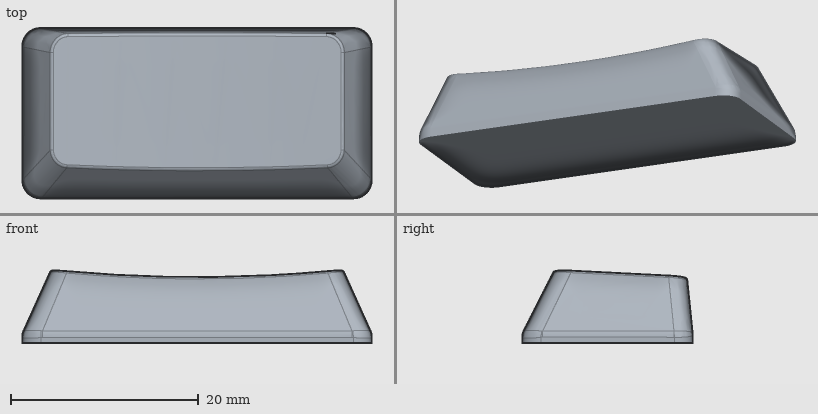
import cadquery as cq
import math

LENGTH = 37.21
WIDTH = 18.16
KNEE_HEIGHT = 1.0
CORNER_RADIUS = 2.0
KNEE_RADIUS = 1.5

END_INSET = 3.05
FRONT_INSET = 3.47
BACK_INSET = 0.62
RIM_HEIGHT = 7.55
FRONT_RIM_CORNER_RADIUS = 1.8
RIM_RADIUS = 0.35

DISH_RADIUS = 150.0
TOP_TILT = math.radians(2.9)
DISH_MID_HEIGHT = 6.75

TRIM_ALLOWANCE = 0.3


def wall_section(rise):
    """Rounded outline of the walls, from the level knee (0) to the tilted rim (1)."""
    half_x = LENGTH / 2 - rise * END_INSET
    front_y = -WIDTH / 2 + rise * FRONT_INSET
    back_y = WIDTH / 2 - rise * BACK_INSET
    rim_front_z = RIM_HEIGHT + (WIDTH / 2 - FRONT_INSET) * math.tan(TOP_TILT)
    rim_back_z = RIM_HEIGHT - (WIDTH / 2 - BACK_INSET) * math.tan(TOP_TILT)
    front_z = KNEE_HEIGHT + rise * (rim_front_z - KNEE_HEIGHT)
    back_z = KNEE_HEIGHT + rise * (rim_back_z - KNEE_HEIGHT)
    corners = [
        cq.Vector(-half_x, front_y, front_z),
        cq.Vector(half_x, front_y, front_z),
        cq.Vector(half_x, back_y, back_z),
        cq.Vector(-half_x, back_y, back_z),
    ]
    outline = cq.Wire.makePolygon(corners, close=True)
    front_corners = [v for v in outline.Vertices() if v.Y < 0]
    front_radius = CORNER_RADIUS + rise * (FRONT_RIM_CORNER_RADIUS - CORNER_RADIUS)
    outline = outline.fillet2D(front_radius, front_corners)
    back_corners = [v for v in outline.Vertices() if v.Y > 0]
    return outline.fillet2D(CORNER_RADIUS, back_corners)


def blank_body():
    """Upright skirt with the leaning walls on top of it."""
    skirt = cq.Workplane("XY").rect(LENGTH, WIDTH).extrude(KNEE_HEIGHT)
    skirt = skirt.edges("|Z").fillet(CORNER_RADIUS)
    walls = cq.Solid.makeLoft([wall_section(0), wall_section(1 + TRIM_ALLOWANCE)], True)
    return skirt.union(cq.Workplane(walls))


def round_knee(body):
    """Blend the skirt into the leaning walls all the way round."""
    half_band = KNEE_HEIGHT / 2
    knee = cq.selectors.BoxSelector(
        (-LENGTH, -WIDTH, KNEE_HEIGHT - half_band),
        (LENGTH, WIDTH, KNEE_HEIGHT + half_band),
        boundingbox=True,
    )
    return body.edges(knee).fillet(KNEE_RADIUS)


def dish_cutter():
    """Long cylinder whose lowest line is the valley of the dished top."""
    along = cq.Vector(0, -math.cos(TOP_TILT), math.sin(TOP_TILT))
    upward = cq.Vector(0, math.sin(TOP_TILT), math.cos(TOP_TILT))
    valley = cq.Vector(0, 0, DISH_MID_HEIGHT)
    start = valley + upward * DISH_RADIUS - along * WIDTH
    return cq.Workplane(cq.Solid.makeCylinder(DISH_RADIUS, 2 * WIDTH, start, along))


def round_rim(body):
    """Soften the edge around the dished top."""
    top = cq.selectors.NearestToPointSelector((0, 0, DISH_MID_HEIGHT))
    return body.faces(top).edges().fillet(RIM_RADIUS)


result = blank_body()
result = round_knee(result)
result = result.cut(dish_cutter())
result = round_rim(result)